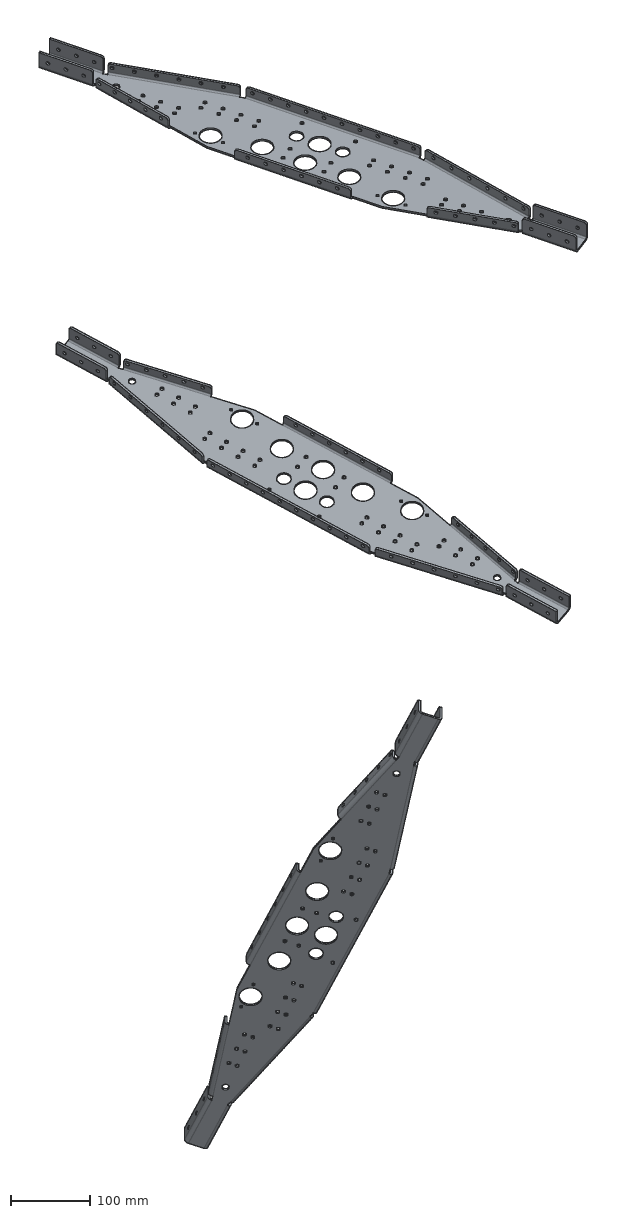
import cadquery as cq
import math

length = 762.0
width = 114.0
channel_height = 28.0
rail_height = 19.0

sheet = 3.0
inner_radius = 2.0
outer_radius = sheet + inner_radius
corner_radius = 4.0

channel_width = 32.0
channel_length = 76.0
neck_x = length / 2 - channel_length
shoulder_x = 125.0
taper_angle = math.atan2(width / 2 - channel_width / 2, neck_x - shoulder_x)

back_rail_end = 123.5
front_rail_end = 82.0
taper_rail_start = 299.5
back_taper_end = 132.0
front_taper_end = 184.0

pitch = channel_length / 3
screw_diameter = 4.95
rail_hole_z = 13.0
channel_hole_z = 15.0
channel_hole_count = 3
back_rail_hole_count = 10
front_rail_hole_count = 6
back_taper_hole_count = 6
front_taper_hole_count = 5
back_left_pitch = 29.0
back_right_pitch = 30.0
front_taper_first_hole_x = 294.0
back_left_first_hole_x = 294.0
back_right_first_hole_x = 290.5

bearing_diameter = 29.0
shaft_diameter = 18.0
neck_hole_diameter = 9.0
side_screw_diameter = 4.0

neck_hole_x = 278.0
neck_row_y = -3.0
row_spacing = 11.5
neck_grid_columns = 3
neck_grid_center_x = 215.0
upper_grid_columns = 4
left_grid_center_x = -126.5
right_grid_center_x = 113.0
upper_row_y = 21.0
outer_bearing = (129.5, -31.0)
inner_bearing = (62.0, -20.5)
low_bearing_y = -22.0
high_bearing_y = 17.5
shaft_x = 33.0
side_screw_offset_x = 20.0
side_screw_y = -36.0
back_screw = (38.0, 43.0)
center_screw_x = 29.0
center_screw_rows = (-8.0, -27.0)


def both_sides(points):
    """The given points together with their mirror images about the middle."""
    return points + [(-x, y) for x, y in points]


def evenly_spaced(center, spacing, count):
    return [center + (i - (count - 1) / 2) * spacing for i in range(count)]


def make_floor():
    """Flat floor, inset along the sides to where the bends begin and full length at the ends."""
    half = [
        (-length / 2 - outer_radius, channel_width / 2),
        (-neck_x, channel_width / 2),
        (-shoulder_x, width / 2),
    ]
    upper = half + [(-x, y) for x, y in reversed(half)]
    lower = [(x, -y) for x, y in reversed(upper)]
    outline = cq.Workplane("XY").polyline(upper + lower).close().offset2D(-outer_radius)
    return outline.extrude(sheet)


def make_flange(start, angle, run, height, hole_places, hole_z, square_end_x=None):
    """Bend and upright wall along an outer edge; the outside lies to the left of the run.

    The top corners are rounded, except any at square_end_x.
    """
    along = cq.Vector(math.cos(angle), math.sin(angle), 0)
    outward = cq.Vector(-math.sin(angle), math.cos(angle), 0)
    origin = cq.Vector(start[0], start[1], 0) - outward * outer_radius
    diagonal = math.sqrt(0.5)
    flange = (
        cq.Workplane(cq.Plane(origin, outward, along))
        .moveTo(0, 0)
        .threePointArc(
            (outer_radius * diagonal, outer_radius * (1 - diagonal)),
            (outer_radius, outer_radius),
        )
        .lineTo(outer_radius, height)
        .lineTo(inner_radius, height)
        .lineTo(inner_radius, outer_radius)
        .threePointArc(
            (inner_radius * diagonal, outer_radius - inner_radius * diagonal),
            (0, sheet),
        )
        .close()
        .extrude(run)
    )
    top_corners = [
        edge
        for edge in flange.faces(">Z").edges(cq.selectors.ParallelDirSelector(outward)).vals()
        if square_end_x is None or abs(edge.Center().x - square_end_x) > sheet
    ]
    flange = flange.newObject(top_corners).fillet(corner_radius)
    holes = (
        cq.Workplane(cq.Plane(origin, along, outward * -1))
        .pushPoints([(place, hole_z) for place in hole_places])
        .circle(screw_diameter / 2)
        .extrude(-2 * outer_radius)
    )
    return flange.cut(holes)


def taper_y(x):
    """Half width of the outer edge on the tapered stretch."""
    return channel_width / 2 + (neck_x - x) * math.tan(taper_angle)


def make_left_channel_walls(square_end_x=None):
    holes = evenly_spaced(channel_length / 2, pitch, channel_hole_count)
    walls = []
    for start, angle in (
        ((-length / 2, channel_width / 2), 0),
        ((-neck_x, -channel_width / 2), math.pi),
    ):
        walls.append(
            make_flange(start, angle, channel_length, channel_height, holes, channel_hole_z, square_end_x)
        )
    return walls


def make_left_back_taper(first_hole_x, spacing):
    run = (taper_rail_start - back_taper_end) / math.cos(taper_angle)
    first_hole = (taper_rail_start - first_hole_x) / math.cos(taper_angle)
    holes = [first_hole + i * spacing for i in range(back_taper_hole_count)]
    start = (-taper_rail_start, taper_y(taper_rail_start))
    return make_flange(start, taper_angle, run, rail_height, holes, rail_hole_z)


def make_left_front_taper():
    run = (taper_rail_start - front_taper_end) / math.cos(taper_angle)
    last_hole = (front_taper_first_hole_x - front_taper_end) / math.cos(taper_angle)
    holes = [last_hole - i * pitch for i in range(front_taper_hole_count)]
    start = (-front_taper_end, -taper_y(front_taper_end))
    return make_flange(start, math.pi - taper_angle, run, rail_height, holes, rail_hole_z)


def make_middle_rails():
    back_holes = evenly_spaced(back_rail_end, pitch, back_rail_hole_count)
    front_holes = evenly_spaced(front_rail_end, pitch, front_rail_hole_count)
    return [
        make_flange((-back_rail_end, width / 2), 0, 2 * back_rail_end, rail_height, back_holes, rail_hole_z),
        make_flange(
            (front_rail_end, -width / 2), math.pi, 2 * front_rail_end, rail_height, front_holes, rail_hole_z
        ),
    ]


def drill(body, points, diameter):
    return body.cut(cq.Workplane("XY").pushPoints(points).circle(diameter / 2).extrude(sheet))


def drill_floor(floor):
    bearings = both_sides([outer_bearing, inner_bearing]) + [(0, low_bearing_y), (0, high_bearing_y)]
    floor = drill(floor, bearings, bearing_diameter)
    floor = drill(floor, both_sides([(shaft_x, high_bearing_y)]), shaft_diameter)
    floor = drill(floor, both_sides([(neck_hole_x, neck_row_y)]), neck_hole_diameter)

    neck_rows = (neck_row_y, neck_row_y - row_spacing)
    neck_columns = evenly_spaced(neck_grid_center_x, pitch, neck_grid_columns)
    neck_grid = [(x, y) for x in neck_columns for y in neck_rows]
    center_screws = [(center_screw_x, y) for y in center_screw_rows]
    screws = both_sides(neck_grid + center_screws + [back_screw])
    for grid_center in (left_grid_center_x, right_grid_center_x):
        for x in evenly_spaced(grid_center, pitch, upper_grid_columns):
            screws += [(x, upper_row_y), (x, upper_row_y - row_spacing)]
    floor = drill(floor, screws, screw_diameter)

    side_screws = [(outer_bearing[0] + side * side_screw_offset_x, side_screw_y) for side in (-1, 1)]
    return drill(floor, both_sides(side_screws), side_screw_diameter)


left_flanges = make_left_channel_walls(square_end_x=-length / 2) + [
    make_left_front_taper(),
    make_left_back_taper(back_left_first_hole_x, back_left_pitch),
]
right_flanges = [
    flange.mirror("YZ")
    for flange in make_left_channel_walls() + [
        make_left_front_taper(),
        make_left_back_taper(back_right_first_hole_x, back_right_pitch),
    ]
]

result = drill_floor(make_floor())
for flange in left_flanges + right_flanges + make_middle_rails():
    result = result.union(flange)